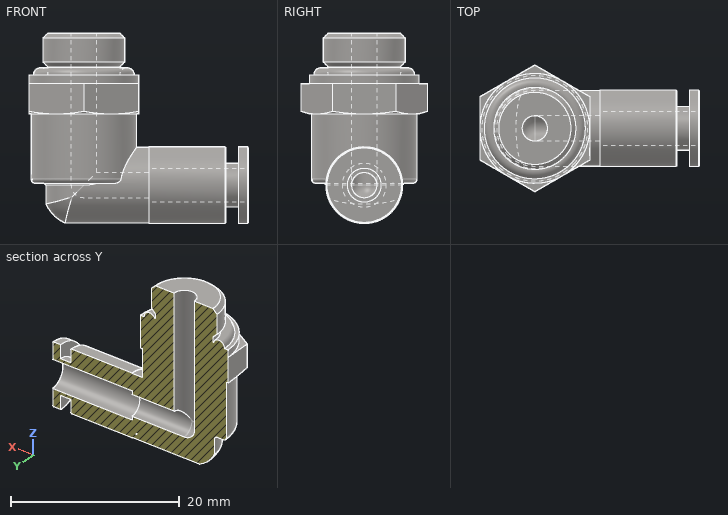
import cadquery as cq
import math


stud_dia = 9.72
groove_dia = 8.55
stud_top = 18.0
stud_chamfer = (stud_dia - groove_dia) / 2
stud_bottom = 14.59
seal_outer_dia = 11.95
seal_section = (seal_outer_dia - groove_dia) / 4
seal_center_radius = groove_dia / 2 + seal_section

hex_flats = 13
hex_corners = hex_flats / math.cos(math.pi / 6)
flange_top = 13.05
hex_top = 12.0
hex_bottom = 8.42
hex_chamfer_height = 0.3

sleeve_dia = 12.5
sleeve_bottom = 0.2
sleeve_fillet = 0.52

elbow_dia = 9.0
elbow_collar_dia = 9.52
elbow_end = 7.72
corner_radius = elbow_dia / 2
corner_center = -0.4

socket_dia = 9.1
socket_end = 16.85
socket_chamfer = 0.15
ring_neck_dia = 5.2
ring_start = 18.28
ring_end = 19.5
ring_chamfer = 0.13

stud_bore_dia = 3.0
tube_bore_dia = 4.0


def upright(dia, bottom, top):
    """Cylinder on the stud axis."""
    return cq.Workplane("XY").workplane(offset=bottom).circle(dia / 2).extrude(top - bottom)


def lengthwise(dia, start, end):
    """Cylinder on the tube axis."""
    return cq.Workplane("YZ").workplane(offset=start).circle(dia / 2).extrude(end - start)


def make_stud():
    profile = [
        (0, flange_top),
        (groove_dia / 2, flange_top),
        (groove_dia / 2, stud_bottom - stud_chamfer),
        (stud_dia / 2, stud_bottom),
        (stud_dia / 2, stud_top - stud_chamfer),
        (groove_dia / 2, stud_top),
        (0, stud_top),
    ]
    return cq.Workplane("XZ").polyline(profile).close().revolve(360, (0, 0), (0, 1))


def make_seal():
    section = cq.Workplane("XZ").center(seal_center_radius, flange_top).circle(seal_section)
    return section.revolve(360, (-seal_center_radius, 0), (-seal_center_radius, 1))


def make_hexagon():
    """Hexagon with two corners on Y, its lower corners turned to a shallow cone."""
    blank = (
        cq.Workplane("XY")
        .workplane(offset=hex_bottom)
        .transformed(rotate=(0, 0, 90))
        .polygon(6, hex_corners)
        .extrude(hex_top - hex_bottom)
    )
    cone_profile = [
        (0, hex_bottom),
        (hex_flats / 2, hex_bottom),
        (hex_corners / 2, hex_bottom + hex_chamfer_height),
        (hex_corners / 2, hex_top),
        (0, hex_top),
    ]
    envelope = cq.Workplane("XZ").polyline(cone_profile).close().revolve(360, (0, 0), (0, 1))
    return blank.intersect(envelope).union(upright(hex_flats, hex_top, flange_top))


def make_sleeve():
    return upright(sleeve_dia, sleeve_bottom, hex_bottom).faces("<Z").edges().fillet(sleeve_fillet)


def make_elbow():
    """Two mitred cylinders whose outer corner is rounded by a sphere."""
    reach = 2 * elbow_dia
    upper_left = (
        cq.Workplane("XZ")
        .polyline([(-reach, -reach), (reach, reach), (-reach, reach)])
        .close()
        .extrude(elbow_dia, both=True)
    )
    upright_branch = upright(elbow_dia, -elbow_dia, hex_bottom).intersect(upper_left)
    tube_branch = lengthwise(elbow_dia, -elbow_dia, elbow_end).cut(upper_left)

    sphere = cq.Workplane("XY").sphere(corner_radius).translate((corner_center, 0, corner_center))
    block_center = corner_center - elbow_dia / 2
    corner_waste = (
        cq.Workplane("XY")
        .box(elbow_dia, reach, elbow_dia)
        .translate((block_center, 0, block_center))
        .cut(sphere)
    )
    collar = (
        cq.Workplane("XY")
        .circle(elbow_dia / 2)
        .workplane(offset=sleeve_bottom)
        .circle(elbow_collar_dia / 2)
        .loft()
    )
    return upright_branch.union(tube_branch).cut(corner_waste).union(collar)


def make_socket():
    socket = lengthwise(socket_dia, elbow_end, socket_end).faces(">X").chamfer(socket_chamfer)
    neck = lengthwise(ring_neck_dia, socket_end, ring_start)
    ring = lengthwise(socket_dia, ring_start, ring_end).faces(">X").chamfer(ring_chamfer)
    return socket.union(neck).union(ring)


def make_passage():
    """Stud bore turning through a spherical bend into a cross bore and the wider tube seat."""
    stud_bore = upright(stud_bore_dia, 0, stud_top)
    bend = cq.Workplane("XY").sphere(stud_bore_dia / 2)
    cross_bore = lengthwise(stud_bore_dia, 0, elbow_end)
    tube_seat = lengthwise(tube_bore_dia, elbow_end, ring_end)
    return stud_bore.union(bend).union(cross_bore).union(tube_seat)


result = (
    make_stud()
    .union(make_seal())
    .union(make_hexagon())
    .union(make_sleeve())
    .union(make_elbow())
    .union(make_socket())
    .cut(make_passage())
)